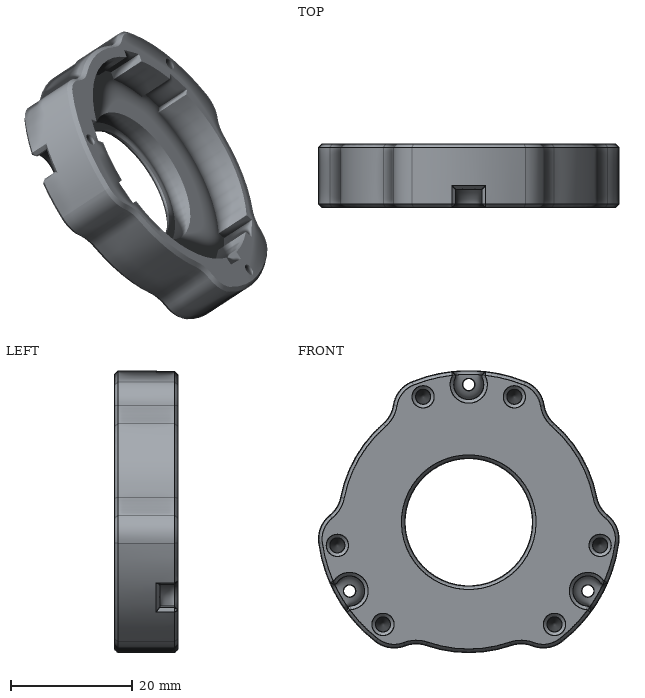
import cadquery as cq
import math

thickness = 10.5
lobe_radius = 25.0
waist_radius = 21.5
blend_radius = 5.0
corner_angle = 22.0
edge_chamfer = 0.6
lobe_angles = [90, 210, 330]

bore_radius = 10.5
bore_lip_depth = 1.0
seat_radius = 12.0
seat_depth = 4.35

cavity_radius = 19.1
recess_reach = 20.35
recess_width = 4.15
recess_offsets = [6.2, -27.8]

pocket_position = 22.7
pocket_radius = 2.5
pocket_depth = 3.02
mouth_width = 4.35
pin_hole_diameter = 2.0

screw_circle_radius = 22.0
screw_angle = 20.0
screw_hole_diameter = 2.5
screw_hole_depth = 5.95
tip_half_angle = 45.0


def polar(radius, angle):
    """X, Z point at a radius and an angle in degrees."""
    turn = math.radians(angle)
    return radius * math.cos(turn), radius * math.sin(turn)


def cylinder(radius, start, end, position=(0, 0)):
    """Cylinder along +Y between two depths, centred on an X, Z point."""
    base = cq.Vector(position[0], start, position[1])
    return cq.Workplane(cq.Solid.makeCylinder(radius, end - start, base, cq.Vector(0, 1, 0)))


def cone(start_radius, end_radius, start, length, position=(0, 0)):
    """Cone along +Y from a depth, centred on an X, Z point."""
    base = cq.Vector(position[0], start, position[1])
    return cq.Workplane(cq.Solid.makeCone(start_radius, end_radius, length, base, cq.Vector(0, 1, 0)))


def radial_slot(angle, inner, outer, width, start, end):
    """Parallel-sided slot running outwards at an angle, between two depths."""
    slot = cq.Workplane("XY").box(outer - inner, end - start, width, centered=(False, False, True))
    return slot.translate((inner, start, 0)).rotate((0, 0, 0), (0, 1, 0), -angle)


def body():
    """Three-lobed plate whose outline is made of tangent arcs."""
    corner_position = lobe_radius - blend_radius
    hollow_position = waist_radius + blend_radius
    cosine = (corner_position**2 + hollow_position**2 - (2 * blend_radius) ** 2) / (
        2 * corner_position * hollow_position
    )
    hollow_angle = corner_angle + math.degrees(math.acos(cosine))

    def blend_points(lobe, side):
        """Contact point and both arc middles of the corner and hollow on one side of a lobe."""
        corner = cq.Vector(*polar(corner_position, lobe + side * corner_angle))
        hollow = cq.Vector(*polar(hollow_position, lobe + side * hollow_angle))
        contact = (corner + hollow) / 2
        across = (hollow - corner).normalized()
        lobe_way = cq.Vector(*polar(1, lobe + side * corner_angle))
        waist_way = cq.Vector(*polar(-1, lobe + side * hollow_angle))
        corner_middle = corner + (across + lobe_way).normalized() * blend_radius
        hollow_middle = hollow + (waist_way - across).normalized() * blend_radius
        return [(point.x, point.y) for point in (contact, corner_middle, hollow_middle)]

    lobe_spacing = 360 / len(lobe_angles)
    outline = cq.Workplane("XZ").moveTo(*polar(lobe_radius, lobe_angles[0] - corner_angle))
    for lobe in lobe_angles:
        contact, corner_middle, hollow_middle = blend_points(lobe, 1)
        outline = outline.threePointArc(polar(lobe_radius, lobe), polar(lobe_radius, lobe + corner_angle))
        outline = outline.threePointArc(corner_middle, contact)
        outline = outline.threePointArc(hollow_middle, polar(waist_radius, lobe + hollow_angle))

        next_lobe = lobe + lobe_spacing
        contact, corner_middle, hollow_middle = blend_points(next_lobe, -1)
        outline = outline.threePointArc(
            polar(waist_radius, lobe + lobe_spacing / 2),
            polar(waist_radius, next_lobe - hollow_angle),
        )
        outline = outline.threePointArc(hollow_middle, contact)
        outline = outline.threePointArc(corner_middle, polar(lobe_radius, next_lobe - corner_angle))
    return outline.close().extrude(-thickness)


def pin_pocket(lobe):
    """Round pocket in the front face with a straight mouth through the lobe's outer wall."""
    outside = lobe_radius + edge_chamfer
    mouth = radial_slot(lobe, pocket_position, outside, mouth_width, 0, pocket_depth)
    return cylinder(pocket_radius, 0, pocket_depth, polar(pocket_position, lobe)).union(mouth)


def mouth_edges(plate):
    """Edges where the pocket mouths break through the outer wall, before the front face is chamfered."""
    edges = []
    for edge in plate.edges().vals():
        middle = edge.Center()
        on_wall = math.hypot(middle.x, middle.z) > lobe_radius - edge_chamfer / 2
        if on_wall and 0 < middle.y < thickness / 2:
            edges.append(edge)
    return plate.newObject(edges)


def screw_hole(angle):
    """Countersunk blind hole with a conical bottom."""
    position = polar(screw_circle_radius, angle)
    radius = screw_hole_diameter / 2
    tip_length = radius / math.tan(math.radians(tip_half_angle))
    hole = cylinder(radius, 0, screw_hole_depth, position)
    hole = hole.union(cone(radius, 0, screw_hole_depth, tip_length, position))
    return hole.union(cone(radius + edge_chamfer, radius, 0, edge_chamfer, position))


result = body()
for lobe in lobe_angles:
    result = result.cut(pin_pocket(lobe))
result = result.cut(cylinder(bore_radius, 0, thickness))
broken_edges = result.faces("<Y").edges().add(mouth_edges(result))
result = broken_edges.add(result.faces(">Y").edges()).chamfer(edge_chamfer)

for lobe in lobe_angles:
    pin_hole = cylinder(pin_hole_diameter / 2, 0, thickness, polar(pocket_position, lobe))
    result = result.cut(pin_hole)
    for side in (-1, 1):
        result = result.cut(screw_hole(lobe + side * screw_angle))

result = result.cut(cylinder(seat_radius, bore_lip_depth, thickness))
result = result.cut(cylinder(cavity_radius, seat_depth, thickness))
for lobe in lobe_angles:
    for offset in recess_offsets:
        recess = radial_slot(
            lobe + offset, seat_radius, recess_reach, recess_width, seat_depth, thickness
        )
        result = result.cut(recess)